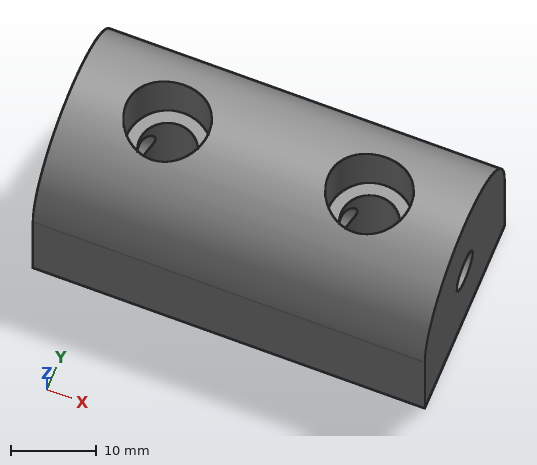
import cadquery as cq

length = 49.3
width = 25.4
axis_height = width / 2
height = axis_height + width / 2

bore_diameter = 5.1

screw_spacing = 25.4
first_screw_from_end = 11.95
screw_hole_diameter = 7.15
counterbore_diameter = 10.35
counterbore_depth = 8.85


def make_body():
    """Block with a half-round top, running along X and centred on the XZ plane."""
    return (
        cq.Workplane("YZ")
        .moveTo(-width / 2, 0)
        .lineTo(width / 2, 0)
        .lineTo(width / 2, axis_height)
        .threePointArc((0, height), (-width / 2, axis_height))
        .close()
        .extrude(length)
    )


def make_lengthwise_bore():
    """Through bore on the axis of the round top."""
    return cq.Workplane("YZ").center(0, axis_height).circle(bore_diameter / 2).extrude(length)


def make_screw_hole(x):
    """Vertical through hole, counterbored from the crown of the round top."""
    hole = cq.Workplane("XY").center(x, 0).circle(screw_hole_diameter / 2).extrude(height)
    counterbore = (
        cq.Workplane("XY", origin=(x, 0, height - counterbore_depth))
        .circle(counterbore_diameter / 2)
        .extrude(counterbore_depth)
    )
    return hole.union(counterbore)


body = make_body().cut(make_lengthwise_bore())
for screw_x in (first_screw_from_end, first_screw_from_end + screw_spacing):
    body = body.cut(make_screw_hole(screw_x))

result = body